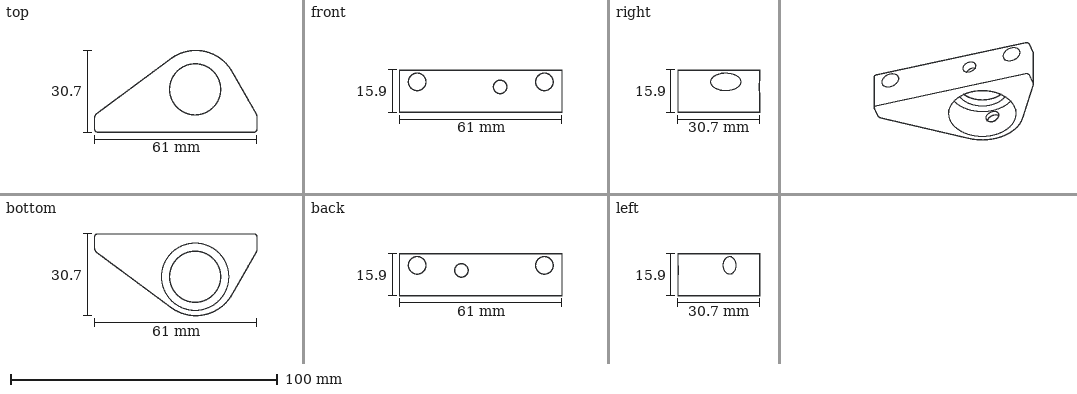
import cadquery as cq
import math

length = 60.95
depth = 30.7
height = 15.85
shoulder_y = 6.4
shoulder_radius = 2.4
base_corner_radius = 1.2

bore_x = 37.75
nose_x = 38.0
nose_radius = 15.6
nose_y = depth - nose_radius
bore_y = 16.1
bore_diameter = 19.1
recess_radius = 12.6
lip_height = 3.2

mount_diameter = 6.5
mount_inset = 6.65
mount_spacing = 47.7
mount_z = 11.45
cross_diameter = 5.0
cross_z = 9.6


def nose_tangent(corner_x, side):
    """Point where the line from a shoulder corner touches the nose (side: -1 left, +1 right)."""
    dx = corner_x - nose_x
    dy = shoulder_y - nose_y
    toward_corner = math.atan2(dy, dx)
    angle = toward_corner + side * math.acos(nose_radius / math.hypot(dx, dy))
    return (nose_x + nose_radius * math.cos(angle), nose_y + nose_radius * math.sin(angle))


def plate():
    body = (
        cq.Workplane("XY")
        .lineTo(length, 0)
        .lineTo(length, shoulder_y)
        .lineTo(*nose_tangent(length, 1))
        .threePointArc((nose_x, depth), nose_tangent(0, -1))
        .lineTo(0, shoulder_y)
        .close()
        .extrude(height)
    )
    for x in (0, length):
        body = body.edges(cq.selectors.NearestToPointSelector((x, 0, height / 2))).fillet(base_corner_radius)
        shoulder_edge = cq.selectors.NearestToPointSelector((x, shoulder_y, height / 2))
        body = body.edges(shoulder_edge).fillet(shoulder_radius)
    return body


def upright_cylinder(radius, cylinder_height):
    return cq.Workplane("XY").center(bore_x, bore_y).circle(radius).extrude(cylinder_height)


def through_hole(x, z, diameter):
    """Cylinder along Y that spans the whole depth of the plate."""
    return cq.Workplane("XZ").center(x, z).circle(diameter / 2).extrude(-depth)


result = plate()
result = result.cut(upright_cylinder(bore_diameter / 2, height))
result = result.cut(upright_cylinder(recess_radius, height - lip_height))
for mount_x in (mount_inset, mount_inset + mount_spacing):
    result = result.cut(through_hole(mount_x, mount_z, mount_diameter))
result = result.cut(through_hole(bore_x, cross_z, cross_diameter))